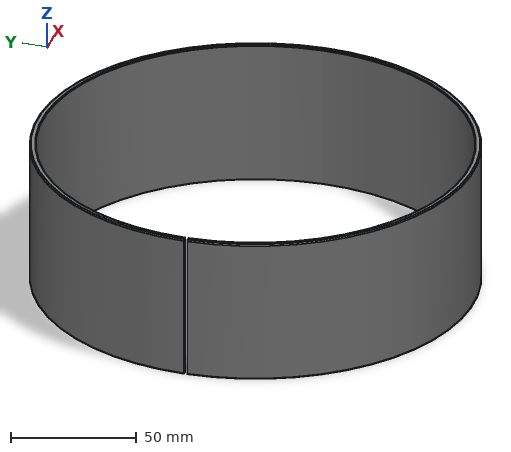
import cadquery as cq

outer_diameter = 180.0
height = 60.0
wall = 2.5
slit_width = 1.5
outer_chamfer = 0.5
inner_chamfer = 0.4

outer_radius = outer_diameter / 2
inner_radius = outer_radius - wall
half_height = height / 2


def ring():
    """Revolve the wall section, with both rims chamfered inside and outside."""
    section = [
        (inner_radius, -half_height + inner_chamfer),
        (inner_radius + inner_chamfer, -half_height),
        (outer_radius - outer_chamfer, -half_height),
        (outer_radius, -half_height + outer_chamfer),
        (outer_radius, half_height - outer_chamfer),
        (outer_radius - outer_chamfer, half_height),
        (inner_radius + inner_chamfer, half_height),
        (inner_radius, half_height - inner_chamfer),
    ]
    return cq.Workplane("XZ").polyline(section).close().revolve(360, (0, 0, 0), (0, 1, 0))


def slit():
    """Straight cut through the -X wall, with one face on the XZ plane and the other at +Y."""
    return (
        cq.Workplane("XY")
        .box(outer_diameter, slit_width, height, centered=(True, False, True))
        .translate((-outer_radius, 0, 0))
    )


result = ring().cut(slit())